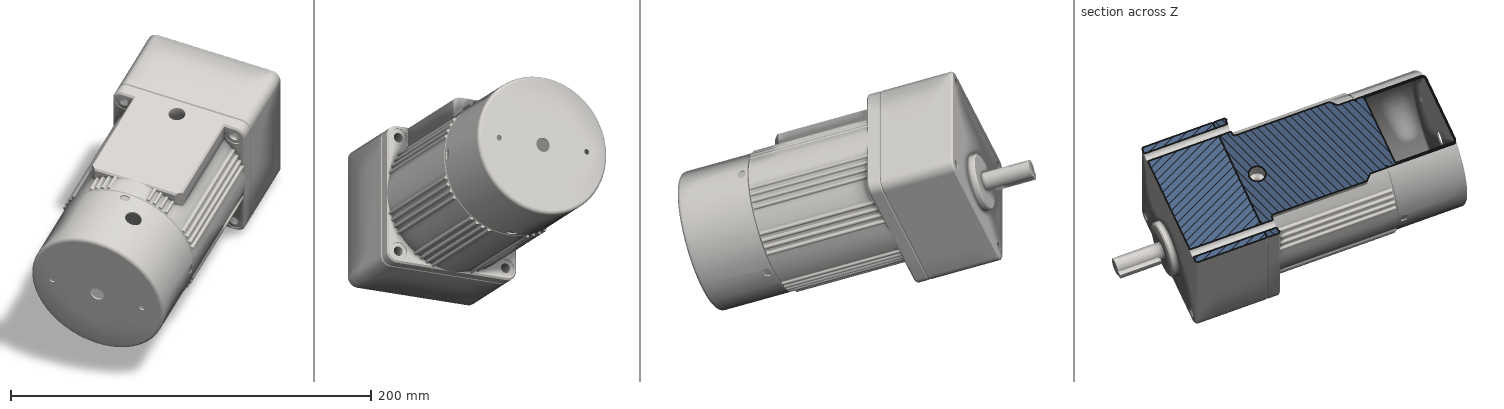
import cadquery as cq
import math


frame_side = 80.0
frame_corner_radius = 5.9
frame_edge_chamfer = 1.0
seam_chamfer = 0.5
bolt_spacing = 66.5
bolt_hole_dia = 5.5

overall_length = 195.5
shaft_tip_y = 75.0
shaft_length = 32.0
shaft_dia = 10.0
shaft_drop = 14.9
boss_dia = 32.0
boss_height = 4.1
boss_chamfer = 0.8
key_width = 4.0
key_length = 25.2
key_reach = 7.0
gearhead_length = shaft_tip_y - shaft_length

flange_length = 7.8
bolt_recess_dia = 10.2
bolt_recess_depth = 0.5
barrel_radius = frame_side / 2
barrel_end_y = -78.5
barrel_end_chamfer = 0.8
fin_end_gap = 1.2
fin_width = 2.0
fin_tip_radius = 41.3
fin_root_fillet = 0.5
fins_per_group = 4
first_fin_angle = 17.2
fin_angle_pitch = 5.7

pad_width = 55.1
pad_end_y = -68.0
pad_corner = 3.3
pad_edge_chamfer = 1.0
pad_hole_dia = 9.4
pad_hole_y = -10.2
pad_hole_depth = 15.6

cover_end_y = shaft_tip_y - overall_length
cover_wall = 0.8
cover_rim = 2.0
cavity_start_y = -83.9
slot_length = 5.9
slot_width = 4.0
slot_y = -82.0
side_hole_dia = 9.2
side_hole_x = 10.2
side_hole_y = -93.5
end_hole_dia = 8.2
screw_hole_dia = 3.1
screw_hole_x = 27.2

bolt_points = [(sx * bolt_spacing / 2, sz * bolt_spacing / 2) for sx in (-1, 1) for sz in (-1, 1)]


def across_y(y):
    """Workplane at the given Y with local x = X, local y = Z, extruding toward -Y."""
    return cq.Workplane("XZ", origin=(0, y, 0))


def frame_block(front_y, length):
    """Square block with rounded corners, running from front_y toward -Y."""
    block = across_y(front_y).rect(frame_side, frame_side).extrude(length)
    return block.edges("|Y").fillet(frame_corner_radius)


def bolt_holes(front_y, length, diameter):
    return across_y(front_y).pushPoints(bolt_points).circle(diameter / 2).extrude(length)


def make_output_shaft():
    """Round shaft with a key on its -X side that is rounded at its inner end."""
    shaft = across_y(shaft_tip_y).center(0, -shaft_drop).circle(shaft_dia / 2).extrude(shaft_length)
    half_width = key_width / 2
    straight_end_y = shaft_tip_y - key_length + half_width
    key = (
        cq.Workplane("YZ", origin=(-key_reach, 0, -shaft_drop))
        .moveTo(shaft_tip_y, half_width)
        .lineTo(straight_end_y, half_width)
        .threePointArc((straight_end_y - half_width, 0), (straight_end_y, -half_width))
        .lineTo(shaft_tip_y, -half_width)
        .close()
        .extrude(key_reach)
    )
    return shaft.union(key)


def make_gearhead():
    body = frame_block(gearhead_length, gearhead_length)
    body = body.faces(">Y").edges().chamfer(frame_edge_chamfer)
    body = body.faces("<Y").edges().chamfer(seam_chamfer)
    boss = (
        across_y(gearhead_length + boss_height)
        .center(0, -shaft_drop)
        .circle(boss_dia / 2)
        .extrude(boss_height)
        .faces(">Y")
        .edges()
        .chamfer(boss_chamfer)
    )
    body = body.union(boss).union(make_output_shaft())
    return body.cut(bolt_holes(gearhead_length, gearhead_length, bolt_hole_dia))


def make_flange():
    flange = frame_block(0, flange_length)
    flange = flange.faces("<Y").edges().chamfer(frame_edge_chamfer)
    return flange.faces(">Y").edges().chamfer(seam_chamfer)


def make_fin():
    """One fin along +X with a round tip and fillets running out tangent to the barrel surface."""
    tip_round = fin_width / 2
    tip_center = fin_tip_radius - tip_round
    fillet_orbit = barrel_radius + fin_root_fillet
    center_gap = tip_round + fin_root_fillet

    fillet_x = (fillet_orbit**2 + tip_center**2 - center_gap**2) / (2 * tip_center)
    fillet_z = math.sqrt(fillet_orbit**2 - fillet_x**2)
    root_x = fillet_x * barrel_radius / fillet_orbit
    root_z = fillet_z * barrel_radius / fillet_orbit
    joint_x = tip_center + (fillet_x - tip_center) * tip_round / center_gap
    joint_z = fillet_z * tip_round / center_gap

    middle_dx = (root_x + joint_x) / 2 - fillet_x
    middle_dz = (root_z + joint_z) / 2 - fillet_z
    middle_scale = fin_root_fillet / math.hypot(middle_dx, middle_dz)
    middle_x = fillet_x + middle_dx * middle_scale
    middle_z = fillet_z + middle_dz * middle_scale

    base_x = barrel_radius - fin_width
    start_y = -flange_length / 2
    return (
        across_y(start_y)
        .moveTo(base_x, -root_z)
        .lineTo(root_x, -root_z)
        .threePointArc((middle_x, -middle_z), (joint_x, -joint_z))
        .threePointArc((fin_tip_radius, 0), (joint_x, joint_z))
        .threePointArc((middle_x, middle_z), (root_x, root_z))
        .lineTo(base_x, root_z)
        .close()
        .extrude(start_y - barrel_end_y - fin_end_gap)
    )


def make_barrel():
    """Finned cylinder: each quarter has two fin groups mirrored about its diagonal."""
    barrel = across_y(-flange_length / 2).circle(barrel_radius).extrude(-flange_length / 2 - barrel_end_y)
    barrel = barrel.faces("<Y").edges().chamfer(barrel_end_chamfer)
    fin = make_fin()
    for quarter in range(4):
        for side in (-1, 1):
            for i in range(fins_per_group):
                angle = 90 * quarter + side * (first_fin_angle + i * fin_angle_pitch)
                barrel = barrel.union(fin.rotate((0, 0, 0), (0, 1, 0), angle))
    return barrel


def make_pad():
    """Flat-topped terminal pad, flush with the top of the flange and cut off at its rear corners."""
    start_y = -flange_length / 2
    block = (
        cq.Workplane("XY")
        .center(0, (start_y + pad_end_y) / 2)
        .rect(pad_width, start_y - pad_end_y)
        .extrude(frame_side / 2)
    )
    bevelled_block = block.faces(">Z").edges("not >Y").chamfer(pad_edge_chamfer)
    cornered_block = block.edges("|Z and <Y").chamfer(pad_corner)
    return bevelled_block.intersect(cornered_block)


def make_cover():
    """Thin-walled round cover over the motor end, with drain slots and side, centre and screw holes."""
    inner_radius = barrel_radius - cover_wall
    cavity_end_y = cover_end_y + cover_wall
    cover = across_y(barrel_end_y).circle(barrel_radius).extrude(barrel_end_y - cover_end_y)
    cover = cover.faces("<Y").edges().fillet(cover_rim)
    cavity = across_y(cavity_start_y).circle(inner_radius).extrude(cavity_start_y - cavity_end_y)
    cover = cover.cut(cavity.faces("<Y").edges().fillet(cover_rim - cover_wall))

    motor_end = across_y(barrel_end_y).circle(inner_radius).extrude(barrel_end_y - cavity_start_y)
    slot = (
        cq.Workplane("XY", origin=(0, slot_y, 0))
        .slot2D(slot_length, slot_width)
        .extrude(frame_side)
        .cut(motor_end)
    )
    for quarter in range(4):
        cover = cover.cut(slot.rotate((0, 0, 0), (0, 1, 0), 90 * quarter))

    side_hole = (
        cq.Workplane("XY", origin=(side_hole_x, side_hole_y, 0)).circle(side_hole_dia / 2).extrude(frame_side)
    )
    end_hole = across_y(cavity_end_y).circle(end_hole_dia / 2).extrude(cover_wall)
    screw_holes = (
        across_y(cavity_end_y)
        .pushPoints([(-screw_hole_x, 0), (screw_hole_x, 0)])
        .circle(screw_hole_dia / 2)
        .extrude(cover_wall)
    )
    return cover.cut(side_hole).cut(end_hole).cut(screw_holes)


def make_motor():
    body = make_flange().union(make_barrel()).union(make_pad()).union(make_cover())
    pad_hole = (
        cq.Workplane("XY", origin=(0, pad_hole_y, frame_side / 2 - pad_hole_depth))
        .circle(pad_hole_dia / 2)
        .extrude(pad_hole_depth)
    )
    body = body.cut(pad_hole).cut(bolt_holes(0, flange_length, bolt_hole_dia))
    recess_start_y = bolt_recess_depth - flange_length
    return body.cut(bolt_holes(recess_start_y, bolt_recess_depth, bolt_recess_dia))


gearhead = make_gearhead()
motor = make_motor()
result = cq.Compound.makeCompound([gearhead.val(), motor.val()])